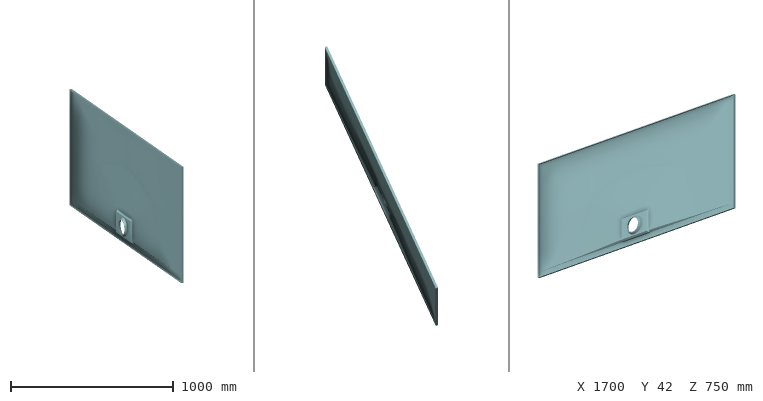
import cadquery as cq

LENGTH = 1700.0
WIDTH = 750.0
TOTAL_DEPTH = 42.0
RIM_DEPTH = 15.0
RIM_WALL = 5.0
RIM_CHAMFER = 2.0
SHEET = 5.0

STRIP_TOP = 39.0
SUMP_DEPTH = 19.0
SUMP_HALF_BOTTOM = 153.0
SUMP_SIDE_MID = (150.0, 125.0)
SUMP_CORNER = (133.0, 195.0)
SUMP_SHOULDER = (99.0, 216.0)
SUMP_TOP_START = 60.0
SUMP_TOP = 223.0
SUMP_BOTTOM_DRAFT = 12.0
SEAM_X = LENGTH / 4
SEAM_Z = 398.0
RING_BOTTOM_X = 502.0
RING_NODE = (395.0, 388.0)
RING_APEX_Z = 488.0
RING_BOTTOM_DEPTH = 10.0
RING_NODE_DEPTH = 10.0
RING_APEX_DEPTH = 8.0
RING_SIDE_MID = (462.0, 230.0)
RING_TOP_MID = (207.0, 455.0)

RIB_HALF_FLAT = 680.0
RIB_HALF_LENGTH = 731.0
RIB_RISE = 2.0

BOX_HALF = 117.0
BOX_BOTTOM = 37.0
BOX_TOP = 190.0
BOX_DEPTH = 29.0
BOX_DRAFT = 8.0
DRAIN_Z = 112.0
OUTLET_BASE_D = 119.0
OUTLET_TIP_D = 102.0
HOLE_D = 92.0
BORE_BASE_D = HOLE_D + OUTLET_BASE_D - OUTLET_TIP_D

BACK_MARGIN = 8.0


def block(x_half, z_low, z_high, y_low, y_high):
    """Box centred on X between the given Z and Y limits."""
    size = (2 * x_half, y_high - y_low, z_high - z_low)
    return cq.Workplane("XY").box(*size, centered=(True, False, False)).translate((0, y_low, z_low))


def floor_solid(shift, bottom, back):
    """Solid between the creased floor surface, moved by shift along Y, and the plane y = back."""
    def point(x, depth, z):
        return cq.Vector(x, shift - depth, z)

    def line(start, end):
        return cq.Edge.makeLine(start, end)

    def lifted(p):
        return cq.Vector(p.x, back, p.z)

    def ruled(first, second):
        return cq.Face.makeRuledSurface(first, second)

    border_x = LENGTH / 2 - RIM_WALL
    border_z = WIDTH - RIM_WALL
    sump_bottom = bottom + SUMP_BOTTOM_DRAFT
    ring_lean = (RING_BOTTOM_DEPTH - SHEET) / (SUMP_DEPTH - SHEET)
    ring_bottom = bottom + ring_lean * SUMP_BOTTOM_DRAFT
    apex = point(0, RING_APEX_DEPTH, RING_APEX_Z)
    border_top = point(0, SHEET, border_z)
    sump_top = point(0, SUMP_DEPTH, SUMP_TOP)
    faces = []
    outline = []
    step_points = []
    sump_edges = []
    for side in (-1, 1):
        corner_low = point(side * border_x, SHEET, bottom)
        border_side = point(side * border_x, SHEET, SEAM_Z)
        corner_high = point(side * border_x, SHEET, border_z)
        border_seam = point(side * SEAM_X, SHEET, border_z)
        ring_low = point(side * RING_BOTTOM_X, RING_BOTTOM_DEPTH, ring_bottom)
        node = point(side * RING_NODE[0], RING_NODE_DEPTH, RING_NODE[1])
        side_mid_depth = (RING_BOTTOM_DEPTH + RING_NODE_DEPTH) / 2
        top_mid_depth = (RING_APEX_DEPTH + RING_NODE_DEPTH) / 2
        side_mid = point(side * RING_SIDE_MID[0], side_mid_depth, RING_SIDE_MID[1])
        top_mid = point(side * RING_TOP_MID[0], top_mid_depth, RING_TOP_MID[1])
        sump_low = point(side * SUMP_HALF_BOTTOM, SUMP_DEPTH, sump_bottom)
        sump_mid = point(side * SUMP_SIDE_MID[0], SUMP_DEPTH, SUMP_SIDE_MID[1])
        sump_corner = point(side * SUMP_CORNER[0], SUMP_DEPTH, SUMP_CORNER[1])
        shoulder = point(side * SUMP_SHOULDER[0], SUMP_DEPTH, SUMP_SHOULDER[1])
        level_start = point(side * SUMP_TOP_START, SUMP_DEPTH, SUMP_TOP)
        ring_side = cq.Edge.makeThreePointArc(ring_low, side_mid, node)
        ring_top = cq.Edge.makeSpline([node, top_mid, apex])
        sump_side = cq.Edge.makeThreePointArc(sump_low, sump_mid, sump_corner)
        sump_upper = cq.Edge.makeSpline([sump_corner, shoulder, level_start, sump_top])

        faces.append(ruled(line(corner_low, border_side), ring_side))
        faces.append(ruled(line(border_side, corner_high), line(node, border_seam)))
        faces.append(ruled(line(border_seam, border_top), ring_top))
        faces.append(ruled(ring_side, sump_side))
        faces.append(ruled(ring_top, sump_upper))

        wall = [border_top, border_seam, corner_high, border_side, corner_low]
        for start, end in zip(wall, wall[1:]):
            faces.append(ruled(line(start, end), line(lifted(start), lifted(end))))
        outline.append(wall)
        step_points.append((corner_low, ring_low, sump_low))
        sump_edges += [sump_side, sump_upper]

    left, right = step_points
    sump_edges.append(line(left[-1], right[-1]))
    faces.append(cq.Face.makeFromWires(cq.Wire.combine(sump_edges)[0]))
    step = [*left, *reversed(right)]
    end_wall = [left[0], right[0], lifted(right[0]), lifted(left[0])]
    lid = [lifted(p) for p in (*outline[0], *reversed(outline[1][1:]))]
    for loop in (step, end_wall, lid):
        faces.append(cq.Face.makeFromWires(cq.Wire.makePolygon(loop, close=True)))
    shell = cq.Shell.makeShell(faces)
    return cq.Workplane(obj=cq.Solid.makeSolid(shell))


def rim_and_sheet():
    """Level sheet with a skirt around its border and a bevelled back edge."""
    slab = block(LENGTH / 2, 0, WIDTH, -RIM_DEPTH, 0).faces(">Y").edges().chamfer(RIM_CHAMFER)
    inside = block(LENGTH / 2 - RIM_WALL, RIM_WALL, WIDTH - RIM_WALL, -RIM_DEPTH, -SHEET)
    return slab.cut(inside)


def strip_rib():
    """Tilted thickening along the strip, fading out at both ends."""
    sections = []
    stations = ((-RIB_HALF_LENGTH, 0), (-RIB_HALF_FLAT, RIB_RISE),
                (RIB_HALF_FLAT, RIB_RISE), (RIB_HALF_LENGTH, 0))
    for x, rise in stations:
        profile = [(-SHEET / 2, RIM_WALL), (-SHEET, RIM_WALL),
                   (-SHEET - rise, STRIP_TOP), (-SHEET / 2, STRIP_TOP)]
        points = [cq.Vector(x, y, z) for y, z in profile]
        sections.append(cq.Wire.makePolygon(points, close=True))
    return cq.Workplane(obj=cq.Solid.makeLoft(sections, True))


def drain_box(inset, shift):
    """Box with drafted walls below the sump, inset on its sides and moved by shift along Y."""
    def section(shrink, depth):
        half = BOX_HALF - inset - shrink
        low = BOX_BOTTOM + inset + shrink
        high = BOX_TOP - inset - shrink
        corners = [(-half, low), (half, low), (half, high), (-half, high)]
        return cq.Wire.makePolygon([cq.Vector(x, shift - depth, z) for x, z in corners], close=True)

    sections = [section(0, SHEET / 2), section(0, SUMP_DEPTH), section(BOX_DRAFT, BOX_DEPTH)]
    return cq.Workplane(obj=cq.Solid.makeLoft(sections, True))


def cone(base_d, base_depth, tip_d, tip_depth):
    """Tapered round solid on the drain axis between two depths."""
    return (
        cq.Workplane("XZ", origin=(0, -base_depth, DRAIN_Z)).circle(base_d / 2)
        .workplane(offset=tip_depth - base_depth).circle(tip_d / 2)
        .loft(ruled=True)
    )


outside = (
    rim_and_sheet()
    .union(floor_solid(0, STRIP_TOP, -SHEET / 2))
    .union(strip_rib())
    .union(drain_box(0, 0))
    .union(cone(OUTLET_BASE_D, BOX_DEPTH, OUTLET_TIP_D, TOTAL_DEPTH))
)
result = (
    outside
    .cut(floor_solid(SHEET, STRIP_TOP + SHEET, BACK_MARGIN))
    .cut(drain_box(SHEET, SHEET))
    .cut(cone(BORE_BASE_D, BOX_DEPTH - SHEET, HOLE_D, TOTAL_DEPTH))
)